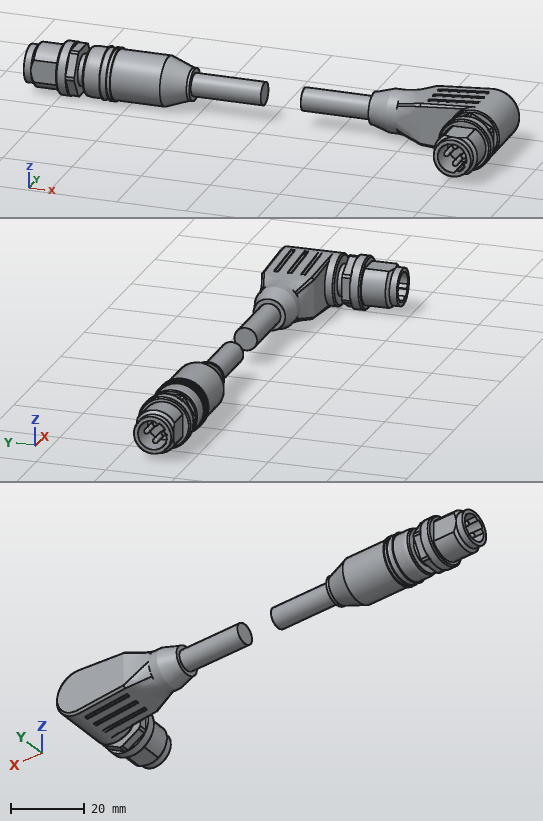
import cadquery as cq
import math

TOTAL_LENGTH = 139.1
TOTAL_WIDTH = 35.0

NOSE_R = 5.35
NOSE_END = 2.1
SLEEVE_R = 6.3
SLEEVE_START = 2.9
SLEEVE_FLAT_HALF = NOSE_R
FLANGE_R = 7.5
FLANGE_START = 9.9
FLANGE_CHAMFER = 0.4
NUT_START = 12.8
NUT_CORNER_R = 7.4
NUT_ACROSS_FLATS = 13.2
NECK_START = 15.3
NECK_R = 4.52
HEAD_LENGTH = 17.4

SOCKET_R = 4.2
SOCKET_DEPTH = 8.3
PIN_R = 0.7
PIN_CIRCLE_R = 2.5
PIN_COUNT = 4
PIN_TIP_SETBACK = 2.1
PIN_TIP_ROUND = 0.4

FLAT_DISTANCE = 3.3
FLAT_ANGLE = 135
KEYWAY_WIDTH = 2.4

CABLE_R = 3.27
STRAIGHT_CABLE_END = 67.7
ELBOW_CABLE_START = 79.3

GRIP_R = 7.1
GRIP_FACE_R = 6.5
GRIP_EDGE_R = 6.89
GRIP_EDGE_WIDTH = 0.4
GRIP_LEAD_IN = 1.5
RING_R = 7.5
RING_RUNOUT = 0.7
RINGS = [(22.5, 1), (24.5, -1), (25.6, 1)]
GRIP_TAPER_START = 39.9
GRIP_END = 47.6

LIP_R = 4.6
GRIP_LIP_WIDTH = 0.8
BOOT_LIP_WIDTH = 0.4

BOOT_START = 99.3
BOOT_R = 6.1
BOOT_CONE_END = 104.9
BOOT_END = 107.8

BLOCK_START = 115.3
BLOCK_HALF_WIDTH = 7.5
BLOCK_START_HALF_HEIGHT = BOOT_R
ROUND_END_R = 7.4
BLOCK_EDGE = 0.7
FRONT_EDGE_END = 0.1
COLLAR_CHAMFER = 0.4
HEAD_AXIS_X = TOTAL_LENGTH - FLANGE_R
HEAD_TIP_Y = BLOCK_HALF_WIDTH - TOTAL_WIDTH
COLLAR_END_Y = HEAD_TIP_Y + HEAD_LENGTH

GROOVE_START = 116.5
GROOVE_SPACING = 3.9
GROOVE_WIDTH = 1.05
GROOVE_DEPTH = 0.3

AXIS_RUN = HEAD_AXIS_X - BLOCK_START
BLOCK_SLOPE = (
    math.asin(ROUND_END_R / math.hypot(AXIS_RUN, BLOCK_START_HALF_HEIGHT))
    - math.atan2(BLOCK_START_HALF_HEIGHT, AXIS_RUN)
)
TANGENT_X = HEAD_AXIS_X - ROUND_END_R * math.sin(BLOCK_SLOPE)
TANGENT_Z = ROUND_END_R * math.cos(BLOCK_SLOPE)


def turned(points):
    """Revolve an (x, radius) outline around the X axis."""
    start_x = points[0][0]
    end_x = points[-1][0]
    outline = [(start_x, 0), *points, (end_x, 0)]
    return cq.Workplane("XY").polyline(outline).close().revolve(360, (0, 0, 0), (1, 0, 0))


def rod(start_x, end_x, radius):
    """Plain cylinder along the X axis."""
    return cq.Workplane("YZ", origin=(start_x, 0, 0)).circle(radius).extrude(end_x - start_x)


def nose_and_sleeve():
    """Nose and sleeve, with two flats across Y."""
    sleeve = turned([
        (0, NOSE_R),
        (NOSE_END, NOSE_R),
        (SLEEVE_START, SLEEVE_R),
        (FLANGE_START, SLEEVE_R),
    ])
    flat_envelope = cq.Workplane("XY").box(2 * FLANGE_START, 2 * SLEEVE_FLAT_HALF, 2 * FLANGE_R)
    return sleeve.intersect(flat_envelope)


def nut():
    """Hexagon with corners at +Y and -Y, its corners turned down to a round."""
    corner_circle = NUT_ACROSS_FLATS / math.cos(math.radians(30))
    hexagon = (
        cq.Workplane("YZ", origin=(NUT_START, 0, 0))
        .polygon(6, corner_circle)
        .extrude(NECK_START - NUT_START)
    )
    return hexagon.intersect(rod(NUT_START, NECK_START, NUT_CORNER_R))


def contact_pins():
    """Round-tipped pins standing on the socket floor."""
    return (
        cq.Workplane("YZ", origin=(PIN_TIP_SETBACK, 0, 0))
        .polarArray(PIN_CIRCLE_R, 0, 360, PIN_COUNT)
        .circle(PIN_R)
        .extrude(SOCKET_DEPTH - PIN_TIP_SETBACK)
        .faces("<X")
        .fillet(PIN_TIP_ROUND)
    )


def coding_flat():
    """Flat along the socket wall, midway between two pins, split by a keyway."""
    wall_middle_r = (SOCKET_R + NOSE_R) / 2
    thickness = wall_middle_r - FLAT_DISTANCE
    sides = (
        cq.Workplane("XY", origin=(SOCKET_DEPTH / 2, FLAT_DISTANCE + thickness / 2, 0))
        .box(SOCKET_DEPTH, thickness, 2 * wall_middle_r)
    )
    keyway = cq.Workplane("XY").box(2 * SOCKET_DEPTH, 2 * wall_middle_r, KEYWAY_WIDTH)
    sides = sides.cut(keyway.translate((0, wall_middle_r, 0)))
    sides = sides.rotate((0, 0, 0), (1, 0, 0), FLAT_ANGLE)
    return sides.intersect(rod(0, SOCKET_DEPTH, wall_middle_r))


def plug_head():
    """Plug head on the X axis, with its tip at the origin and facing -X."""
    flange = rod(FLANGE_START, NUT_START, FLANGE_R).faces("<X").chamfer(FLANGE_CHAMFER)
    neck = rod(NECK_START, HEAD_LENGTH, NECK_R)
    head = nose_and_sleeve().union(flange).union(nut()).union(neck)
    return head.cut(rod(0, SOCKET_DEPTH, SOCKET_R)).union(contact_pins()).union(coding_flat())


def raised_ring(crest_x, direction):
    """Sharp ring, square on one side and fading into the grip on the side of the given direction."""
    base_x = crest_x + direction * RING_RUNOUT
    foot_x = base_x + direction * RING_RUNOUT
    return (
        cq.Workplane("XY")
        .moveTo(crest_x, 0)
        .lineTo(foot_x, 0)
        .lineTo(foot_x, GRIP_R)
        .lineTo(base_x, GRIP_R)
        .tangentArcPoint((crest_x, RING_R), relative=False)
        .close()
        .revolve(360, (0, 0, 0), (1, 0, 0))
    )


def straight_grip():
    """Round grip with a tapered cable end and three raised rings."""
    grip = turned([
        (HEAD_LENGTH, GRIP_FACE_R),
        (HEAD_LENGTH + GRIP_EDGE_WIDTH, GRIP_EDGE_R),
        (HEAD_LENGTH + GRIP_LEAD_IN, GRIP_R),
        (GRIP_TAPER_START, GRIP_R),
        (GRIP_END - GRIP_LIP_WIDTH, LIP_R),
        (GRIP_END, LIP_R),
    ])
    for crest_x, direction in RINGS:
        grip = grip.union(raised_ring(crest_x, direction))
    return grip


def straight_plug():
    """Body 1: head, grip and cable in line."""
    cable = rod(GRIP_END, STRAIGHT_CABLE_END, CABLE_R)
    return plug_head().union(straight_grip()).union(cable)


def elbow_boot():
    """Round boot that narrows toward the cable."""
    return turned([
        (BOOT_START, LIP_R),
        (BOOT_START + BOOT_LIP_WIDTH, LIP_R),
        (BOOT_CONE_END, BOOT_R),
        (BOOT_END, BOOT_R),
    ])


def elbow_shoulder():
    """Transition from the round boot to the edge-broken rectangle of the block."""
    return (
        cq.Workplane("YZ", origin=(BOOT_END, 0, 0))
        .circle(BOOT_R)
        .workplane(offset=BLOCK_START - BOOT_END)
        .polyline(block_start_outline())
        .close()
        .loft(ruled=True)
    )


def block_start_outline():
    """Rectangle with broken corners, where the shoulder meets the block."""
    wide, high, edge = BLOCK_HALF_WIDTH, BLOCK_START_HALF_HEIGHT, BLOCK_EDGE
    return [
        (wide, -high + edge), (wide, high - edge),
        (wide - edge, high), (-wide + edge, high),
        (-wide, high - edge), (-wide, -high + edge),
        (-wide + edge, -high), (wide - edge, -high),
    ]


def front_edge_wedge(side):
    """Corner cut along a front long edge, whose Y leg fades toward the round end."""
    def corner(edge_y, z):
        y = -BLOCK_HALF_WIDTH
        return [(y, side * z), (y + edge_y, side * z), (y, side * (z - BLOCK_EDGE))]

    return (
        cq.Workplane("YZ", origin=(BLOCK_START, 0, 0))
        .polyline(corner(BLOCK_EDGE, BLOCK_START_HALF_HEIGHT)).close()
        .workplane(offset=TANGENT_X - BLOCK_START)
        .polyline(corner(FRONT_EDGE_END, TANGENT_Z)).close()
        .loft(ruled=True)
    )


def grooves(side):
    """Three grooves that follow one sloping face of the block."""
    slope = math.tan(BLOCK_SLOPE)
    start_z = BLOCK_START_HALF_HEIGHT + (GROOVE_START - BLOCK_START) * slope
    outline = [
        (GROOVE_START, side * (start_z + GROOVE_DEPTH)),
        (GROOVE_START, side * (start_z - GROOVE_DEPTH)),
        (TANGENT_X, side * (TANGENT_Z - GROOVE_DEPTH)),
        (TANGENT_X, side * (TANGENT_Z + GROOVE_DEPTH)),
    ]
    middle = cq.Workplane("XZ").polyline(outline).close().extrude(GROOVE_WIDTH / 2, both=True)
    cutters = middle
    for offset in (-GROOVE_SPACING, GROOVE_SPACING):
        cutters = cutters.union(middle.translate((0, offset, 0)))
    return cutters


def elbow_block():
    """Widening block with a round end, grooves and the collar that carries the head."""
    block = (
        cq.Workplane("XZ", origin=(0, BLOCK_HALF_WIDTH, 0))
        .moveTo(BLOCK_START, -BLOCK_START_HALF_HEIGHT)
        .lineTo(TANGENT_X, -TANGENT_Z)
        .threePointArc((HEAD_AXIS_X + ROUND_END_R, 0), (TANGENT_X, TANGENT_Z))
        .lineTo(BLOCK_START, BLOCK_START_HALF_HEIGHT)
        .close()
        .extrude(2 * BLOCK_HALF_WIDTH)
        .faces(">Y").edges("not <X")
        .chamfer(BLOCK_EDGE)
    )
    for side in (-1, 1):
        block = block.cut(front_edge_wedge(side)).cut(grooves(side))
    collar = (
        cq.Workplane("XZ", origin=(HEAD_AXIS_X, 0, 0))
        .circle(ROUND_END_R)
        .extrude(-COLLAR_END_Y)
        .faces("<Y")
        .chamfer(COLLAR_CHAMFER)
    )
    return block.union(collar)


def elbow_plug():
    """Body 2: cable and boot along X, with the head turned to -Y."""
    head_plane = cq.Plane(origin=(HEAD_AXIS_X, HEAD_TIP_Y, 0), xDir=(0, 1, 0), normal=(1, 0, 0))
    head = cq.Workplane(plug_head().val().moved(head_plane.location))
    cable = rod(ELBOW_CABLE_START, BOOT_START, CABLE_R)
    housing = elbow_boot().union(elbow_shoulder()).union(elbow_block())
    return housing.union(cable).union(head)


straight = straight_plug()
elbow = elbow_plug()
result = cq.Compound.makeCompound([straight.val(), elbow.val()])